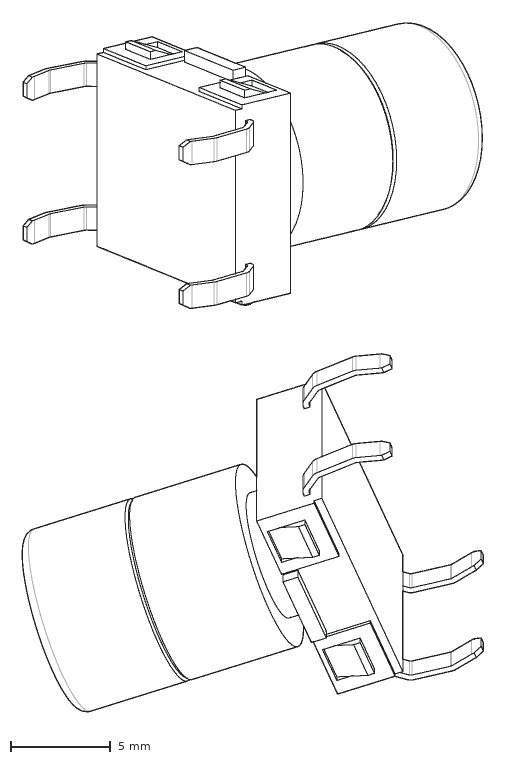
import cadquery as cq
import math

OVERALL_X = 14.0
OVERALL_Y = 20.6
OVERALL_Z = 11.4

HOUSING_WIDTH = 11.4
HOUSING_DEPTH = 3.5
CORE_HEIGHT = 10.18
PLATE_HEIGHT = 10.59
PLATE_WIDTH = 3.5
PLATE_DEPTH = 3.1
BAR_WIDTH = 4.0
BAR_DEPTH = 0.8

LATCH_SIZE = 2.02
LATCH_SIDE_MARGIN = 0.8
LATCH_BACK_MARGIN = 0.27
LATCH_FLAT = 0.35
LATCH_SINK = 0.3

COLLAR_DIAMETER = 6.6
COLLAR_LENGTH = 1.48
CAP_DIAMETER = 9.6
CAP_END_FILLET = 0.5
GROOVE_HALF_WIDTH = 0.12
GROOVE_DEPTH = 0.12

PIN_LENGTH = 4.0
PIN_WIDTH = 1.24
PIN_THICKNESS = 0.3
PIN_SPACING = 7.6
PIN_BEND_RADIUS = 0.2
PIN_ROOT_DEPTH = 0.41
PIN_TOP_Y = 0.95
PIN_TIP_LENGTH = 0.41
PIN_TIP_INSET = 0.25

SHOULDER_X = 6.04
ELBOW_X, ELBOW_Y = 6.8, 0.0
KNEE_X, KNEE_Y = OVERALL_X / 2, -2.25
ANKLE_X, ANKLE_Y = 6.67, -3.5
TIP_X = 6.57

HALF_WIDTH = HOUSING_WIDTH / 2
PLATE_TOP = PLATE_HEIGHT / 2
OVERALL_TOP = OVERALL_Z / 2
CAP_BACK = OVERALL_Y - PIN_LENGTH


def block(x_range, y_range, z_range):
    """Box spanning the given (low, high) ranges."""
    spans = [high - low for low, high in (x_range, y_range, z_range)]
    corner = (x_range[0], y_range[0], z_range[0])
    return cq.Workplane("XY").box(*spans, centered=False).translate(corner)


def latch_prism(x_left, side_outline):
    """Extrude a (Y, Z) outline along X over the width of one latch."""
    return cq.Workplane("YZ").workplane(offset=x_left).polyline(side_outline).close().extrude(LATCH_SIZE)


def make_housing():
    """Core block with corner plates, latches and a bar on its top and bottom."""
    core_top = CORE_HEIGHT / 2
    housing = block((-HALF_WIDTH, HALF_WIDTH), (0, HOUSING_DEPTH), (-core_top, core_top))
    plate_y = (HOUSING_DEPTH - PLATE_DEPTH, HOUSING_DEPTH)
    bar_y = (HOUSING_DEPTH - BAR_DEPTH, HOUSING_DEPTH)
    housing = housing.union(block((-BAR_WIDTH / 2, BAR_WIDTH / 2), bar_y, (-OVERALL_TOP, OVERALL_TOP)))
    for plate_left in (-HALF_WIDTH, HALF_WIDTH - PLATE_WIDTH):
        plate_x = (plate_left, plate_left + PLATE_WIDTH)
        housing = housing.union(block(plate_x, plate_y, (-PLATE_TOP, PLATE_TOP)))

    back_y = HOUSING_DEPTH - LATCH_BACK_MARGIN
    front_y = back_y - LATCH_SIZE
    floor_z = PLATE_TOP - LATCH_SINK
    latch_outline = [
        (back_y, floor_z),
        (front_y + LATCH_FLAT, OVERALL_TOP),
        (front_y, OVERALL_TOP),
        (front_y, floor_z),
    ]
    window_outline = [(back_y, floor_z), (back_y, OVERALL_TOP), (front_y, OVERALL_TOP), (front_y, floor_z)]
    for latch_left in (-HALF_WIDTH + LATCH_SIDE_MARGIN, HALF_WIDTH - LATCH_SIDE_MARGIN - LATCH_SIZE):
        window = latch_prism(latch_left, window_outline)
        latch = latch_prism(latch_left, latch_outline)
        housing = housing.cut(window).cut(window.mirror("XY"))
        housing = housing.union(latch).union(latch.mirror("XY"))
    return housing


def make_button():
    """Collar and cap turned about Y, with a V-groove halfway along the cap."""
    collar_radius = COLLAR_DIAMETER / 2
    cap_radius = CAP_DIAMETER / 2
    cap_front = HOUSING_DEPTH + COLLAR_LENGTH
    groove_y = (cap_front + CAP_BACK) / 2
    fillet_inset = CAP_END_FILLET * (1 - math.sqrt(0.5))
    return (
        cq.Workplane("XY")
        .moveTo(0, HOUSING_DEPTH)
        .lineTo(collar_radius, HOUSING_DEPTH)
        .lineTo(collar_radius, cap_front)
        .lineTo(cap_radius, cap_front)
        .lineTo(cap_radius, groove_y - GROOVE_HALF_WIDTH)
        .lineTo(cap_radius - GROOVE_DEPTH, groove_y)
        .lineTo(cap_radius, groove_y + GROOVE_HALF_WIDTH)
        .lineTo(cap_radius, CAP_BACK - CAP_END_FILLET)
        .threePointArc(
            (cap_radius - fillet_inset, CAP_BACK - fillet_inset),
            (cap_radius - CAP_END_FILLET, CAP_BACK),
        )
        .lineTo(0, CAP_BACK)
        .close()
        .revolve(360, (0, 0, 0), (0, 1, 0))
    )


def inner_bend(before, bend, after):
    """Corner of the pin's inner face that lies opposite a corner of its outer face."""
    heading_in = math.atan2(bend[1] - before[1], bend[0] - before[0])
    heading_out = math.atan2(after[1] - bend[1], after[0] - bend[0])
    inward = (heading_in + heading_out - math.pi) / 2
    reach = PIN_THICKNESS / math.cos((heading_out - heading_in) / 2)
    return (bend[0] + reach * math.cos(inward), bend[1] + reach * math.sin(inward))


def make_pin():
    """One bent strip on the +X side, centred on Z = 0, with a tapered tip."""
    root_x = HALF_WIDTH - PIN_ROOT_DEPTH
    tip = (TIP_X, -PIN_LENGTH)
    ankle = (ANKLE_X, ANKLE_Y)
    rounded_bends = [(SHOULDER_X, PIN_TOP_Y), (ELBOW_X, ELBOW_Y), (KNEE_X, KNEE_Y)]
    outer = [(root_x, PIN_TOP_Y)] + rounded_bends + [ankle, tip]
    inner = [inner_bend(*outer[i - 1:i + 2]) for i in range(1, len(outer) - 1)]
    tip_lean = math.atan2(ankle[0] - tip[0], ankle[1] - tip[1])
    inner_tip = (TIP_X - PIN_THICKNESS / math.cos(tip_lean), -PIN_LENGTH)
    inner_root = (root_x, PIN_TOP_Y - PIN_THICKNESS)
    outline = outer + [inner_tip] + inner[::-1] + [inner_root]
    pin = cq.Workplane("XY").polyline(outline).close().extrude(PIN_WIDTH / 2, both=True)

    outer_radius = PIN_BEND_RADIUS + PIN_THICKNESS
    for corners, radius in ((rounded_bends, outer_radius), (inner[:-1], PIN_BEND_RADIUS)):
        for x, y in corners:
            pin = pin.edges(cq.selectors.NearestToPointSelector((x, y, 0))).fillet(radius)

    half_width = PIN_WIDTH / 2
    taper = (
        cq.Workplane("YZ")
        .polyline([
            (-PIN_LENGTH, half_width - PIN_TIP_INSET),
            (-PIN_LENGTH + PIN_TIP_LENGTH, half_width),
            (-PIN_LENGTH, half_width),
        ])
        .close()
        .extrude(OVERALL_X)
    )
    return pin.cut(taper).cut(taper.mirror("XY"))


result = make_housing().union(make_button())
pin = make_pin()
for pin_z in (-PIN_SPACING / 2, PIN_SPACING / 2):
    right_pin = pin.translate((0, 0, pin_z))
    result = result.union(right_pin).union(right_pin.mirror("YZ"))